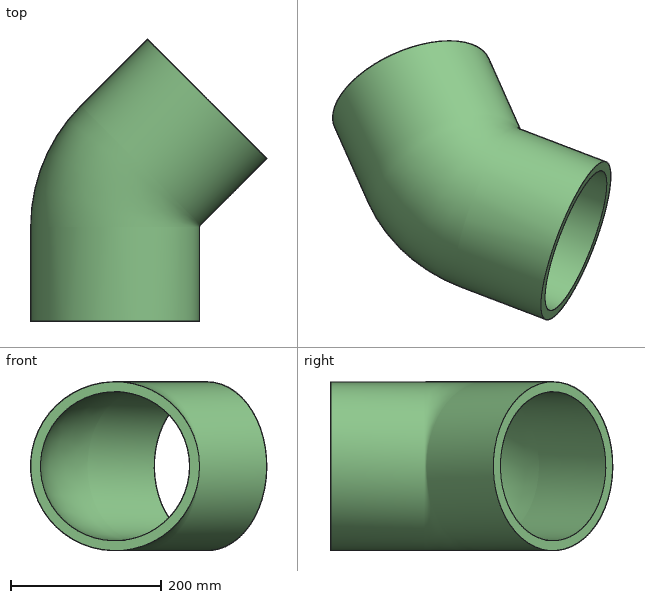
import cadquery as cq
import math

overall_length = 375.7
outer_diameter = 225.0
bore_diameter = 198.5
bend_radius = 116.0
bend_angle = 45.0

angle = math.radians(bend_angle)
bend_rise = (bend_radius + outer_diameter / 2) * math.sin(angle)
leg_length = (overall_length - bend_rise) / (1 + math.cos(angle))

bend_start = (0, leg_length, 0)
bend_end = (
    bend_radius * (1 - math.cos(angle)),
    leg_length + bend_radius * math.sin(angle),
    0,
)
leg_direction = (math.sin(angle), math.cos(angle), 0)


def elbow_solid(diameter):
    """Solid elbow of the given diameter around the common centreline."""
    start_leg = cq.Workplane("XZ").circle(diameter / 2).extrude(-leg_length)
    bend = (
        cq.Workplane("XZ", origin=bend_start)
        .circle(diameter / 2)
        .revolve(bend_angle, (bend_radius, 0, 0), (bend_radius, -1, 0))
    )
    end_plane = cq.Plane(origin=bend_end, xDir=(0, 0, 1), normal=leg_direction)
    end_leg = cq.Workplane(end_plane).circle(diameter / 2).extrude(leg_length)
    return start_leg.union(bend).union(end_leg)


result = elbow_solid(outer_diameter).cut(elbow_solid(bore_diameter))